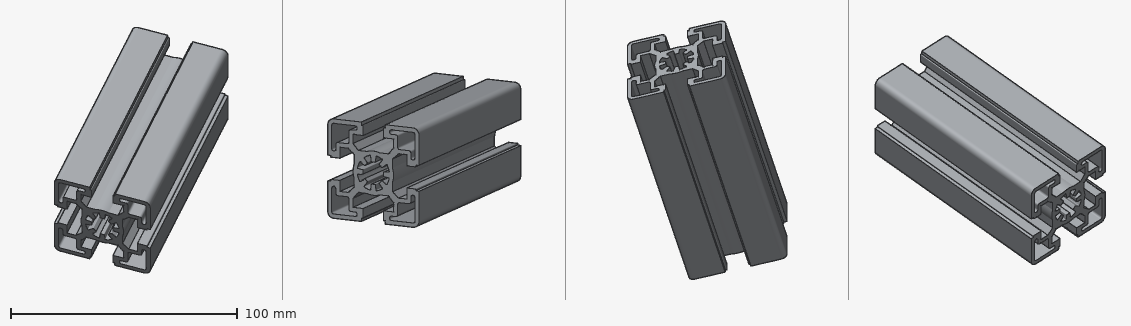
import cadquery as cq

length = 100.0
half_side = 45.0 / 2
corner_radius = 3.0
wall = 2.0

mouth_top_half = 5.9
mouth_bottom_half = 5.7
lip_half = 5.0
lip_step_depth = 1.5
lip_step_height = half_side - lip_step_depth
lip_underside = 16.5
lip_radius = 0.3
slot_half = 10.0
slope_top = 12.4
floor_height = 9.5
floor_half = 7.4
core_radius = 10.0

cavity_outer = half_side - wall
cavity_lip = lip_underside + wall
cavity_web = slot_half + wall
cavity_end = 8.0
cavity_radius = 1.0

bore_radius = 8.0
tooth_tip_height = 5.0
tooth_tip_half = 1.0
tooth_root_half = 1.4
tooth_radius = 0.3
tooth_count = 8
root_overlap = 0.5


def profile_plane():
    """XZ plane at the +Y end; extruding by the length runs to the -Y end, centred on Y."""
    return cq.Workplane("XZ", origin=(0, length / 2, 0))


def spin(body, angle):
    """Turn a body about the long axis of the extrusion."""
    return body.rotate((0, 0, 0), (0, 1, 0), angle)


def round_edge(body, x, z, radius):
    """Fillet the lengthwise edge that passes through (x, z)."""
    return body.edges(cq.NearestToPointSelector((x, 0, z))).fillet(radius)


def make_block():
    side = 2 * half_side
    return profile_plane().rect(side, side).extrude(length).edges("|Y").fillet(corner_radius)


def make_slot():
    """T-slot opening upward (+Z), with a tapered mouth, stepped lips and sloped lower corners."""
    right_half = [
        (mouth_top_half, half_side),
        (mouth_bottom_half, lip_step_height),
        (lip_half, lip_step_height),
        (lip_half, lip_underside),
        (slot_half, lip_underside),
        (slot_half, slope_top),
        (floor_half, floor_height),
    ]
    left_half = [(-x, z) for x, z in reversed(right_half)]
    slot = profile_plane().polyline(right_half + left_half).close().extrude(length)
    for x in (-lip_half, lip_half):
        slot = round_edge(slot, x, lip_step_height, lip_radius)
    return slot


def make_cavity():
    """L-shaped hollow in the +X +Z corner, with rounded ends on both arms."""
    arm_radius = (cavity_outer - cavity_lip) / 2
    arm_middle = (cavity_outer + cavity_lip) / 2
    arc_start = cavity_end + arm_radius
    cavity = (
        profile_plane()
        .moveTo(cavity_outer, cavity_outer)
        .lineTo(arc_start, cavity_outer)
        .threePointArc((cavity_end, arm_middle), (arc_start, cavity_lip))
        .lineTo(cavity_web, cavity_lip)
        .lineTo(cavity_web, cavity_web)
        .lineTo(cavity_lip, cavity_web)
        .lineTo(cavity_lip, arc_start)
        .threePointArc((arm_middle, cavity_end), (cavity_outer, arc_start))
        .close()
        .extrude(length)
    )
    corners = [
        (cavity_outer, cavity_outer),
        (cavity_web, cavity_web),
        (cavity_web, cavity_lip),
        (cavity_lip, cavity_web),
    ]
    for x, z in corners:
        cavity = round_edge(cavity, x, z, cavity_radius)
    return cavity


def make_tooth():
    """Tapered tooth pointing from the bore wall toward the centre."""
    right_half = [
        (tooth_tip_half, tooth_tip_height),
        (tooth_root_half, bore_radius),
        (tooth_root_half, bore_radius + root_overlap),
    ]
    left_half = [(-x, z) for x, z in reversed(right_half)]
    return profile_plane().polyline(right_half + left_half).close().extrude(length)


def make_bore():
    """Hollow of the bore around its ring of teeth, rounded at tooth tips and roots."""
    bore = profile_plane().circle(bore_radius).extrude(length)
    for index in range(tooth_count):
        bore = bore.cut(spin(make_tooth(), index * 360 / tooth_count))
    return bore.edges("|Y").fillet(tooth_radius)


result = make_block()
for quarter in range(4):
    result = result.cut(spin(make_slot(), 90 * quarter))
    result = result.cut(spin(make_cavity(), 90 * quarter))

core = profile_plane().circle(core_radius).extrude(length)
result = result.union(core).cut(make_bore())